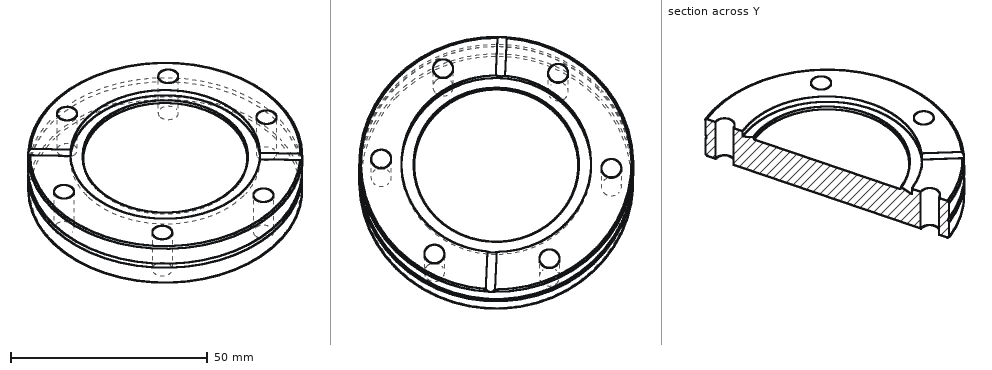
import cadquery as cq
import math

outer_radius = 34.95
thickness = 12.7
edge_chamfer = 0.5

rim_groove_half_width = 0.7
rim_groove_depth = 0.3

recess_radius = 24.2
recess_depth = 1.8
knife_radius = 21.1
knife_slope_angle = 20.0
knife_inner_radius = 20.9
center_depth = 1.5

bolt_count = 6
bolt_circle_radius = 29.35
bolt_hole_diameter = 5.1

channel_width = 2.4
channel_depth = 0.55
channel_angle = 30.0


def make_disc():
    """Revolve the full flange section about Z."""
    mid_height = thickness / 2
    knife_rise = (recess_radius - knife_radius) * math.tan(math.radians(knife_slope_angle))
    recess_floor = thickness - recess_depth
    center_floor = thickness - center_depth
    chamfer_radius = outer_radius - edge_chamfer
    return (
        cq.Workplane("XZ")
        .lineTo(chamfer_radius, 0)
        .lineTo(outer_radius, edge_chamfer)
        .lineTo(outer_radius, mid_height - rim_groove_half_width)
        .threePointArc(
            (outer_radius - rim_groove_depth, mid_height),
            (outer_radius, mid_height + rim_groove_half_width),
        )
        .lineTo(outer_radius, thickness - edge_chamfer)
        .lineTo(chamfer_radius, thickness)
        .lineTo(recess_radius, thickness)
        .lineTo(recess_radius, recess_floor)
        .lineTo(knife_radius, recess_floor + knife_rise)
        .lineTo(knife_inner_radius, center_floor)
        .lineTo(0, center_floor)
        .close()
        .revolve(360, (0, 0), (0, 1))
    )


def make_bolt_holes():
    return (
        cq.Workplane("XY")
        .polarArray(bolt_circle_radius, 0, 360, bolt_count)
        .circle(bolt_hole_diameter / 2)
        .extrude(thickness)
    )


def make_channel(angle):
    """Round-bottomed cutter along one radius, starting just inside the recess wall."""
    half_width = channel_width / 2
    arc_radius = (half_width**2 + channel_depth**2) / (2 * channel_depth)
    start = recess_radius - arc_radius
    return (
        cq.Workplane("YZ", origin=(start, 0, 0))
        .center(0, thickness - channel_depth + arc_radius)
        .circle(arc_radius)
        .extrude(outer_radius - start)
        .rotate((0, 0, 0), (0, 0, 1), angle)
    )


result = make_disc().cut(make_bolt_holes())
for angle in (channel_angle, channel_angle + 180):
    result = result.cut(make_channel(angle))